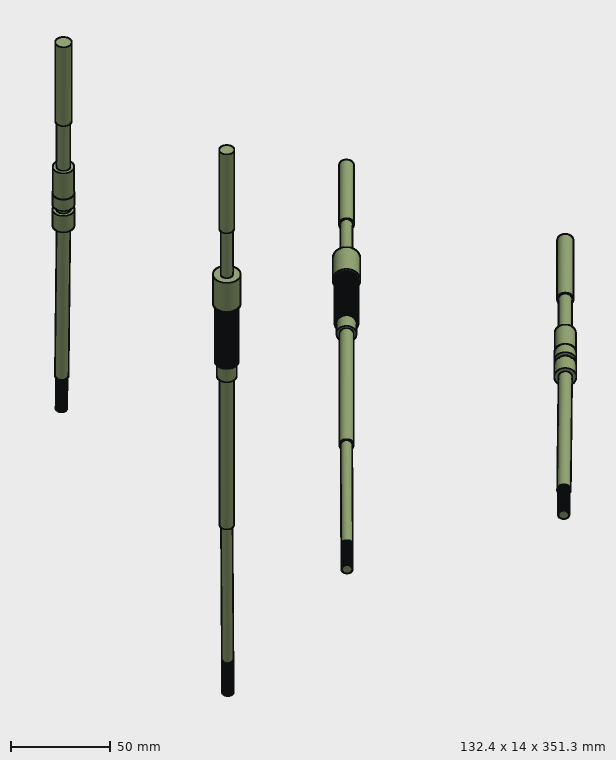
import cadquery as cq
import math

axis_spacing = 119.8
total_length = 351.3

head_end = 51.0
collar_top = 80.5
ridge_pitch = 1.0
ridge_depth = 0.5
cable_length = 96.3
tip_length = 21.5

short_head_diameter = 8.5
short_stem_diameter = 7.0
short_collar_diameter = 11.0
short_collar_end = 97.3
short_sleeve_diameter = 11.2
groove_top = 104.7
groove_end = 108.0
groove_diameter = 7.5
short_fitting_end = 118.5
short_cable_diameter = 7.0
short_tip_diameter = 6.0
short_lean_to_front = 0.8
short_lean_to_side = 0.1

long_head_diameter = 7.7
long_stem_diameter = 6.3
long_collar_diameter = 14.0
long_collar_end = 99.5
thread_diameter = 12.3
thread_end = 137.0
long_nose_diameter = 10.2
long_fitting_end = 146.0
sheath_diameter = 7.5
core_diameter = 6.0
long_lean_to_back = 0.4


def turned(points):
    """Solid of revolution about Z from (radius, depth) points, closed along the axis."""
    outline = [(0, -points[0][1])]
    outline += [(-radius, -depth) for radius, depth in points]
    outline.append((0, -points[-1][1]))
    return cq.Workplane("YZ").polyline(outline).close().revolve(360, (0, 0), (0, 1))


def rod(diameter, top, end):
    """Plain round rod between two depths."""
    return turned([(diameter / 2, top), (diameter / 2, end)])


def ridges(diameter, top, end):
    """Outline points of V ridges that fill the stretch between two depths."""
    count = round((end - top) / ridge_pitch)
    pitch = (end - top) / count
    crest = diameter / 2
    root = crest - ridge_depth
    points = [(root, top)]
    for i in range(count):
        points.append((crest, top + (i + 0.5) * pitch))
        points.append((root, top + (i + 1) * pitch))
    return points


def leaned(body, pivot_depth, about_x, about_y):
    """Turn a body about a point on the axis so that its lower end drifts sideways."""
    pivot = (0, 0, -pivot_depth)
    body = body.rotate(pivot, (1, 0, -pivot_depth), about_x)
    return body.rotate(pivot, (0, 1, -pivot_depth), about_y)


def leaning_rod(diameter, top, end, about_x, about_y):
    """Leaning rod whose upper end is cut level, flush with the part above it."""
    spare = diameter * math.tan(math.radians(abs(about_x) + abs(about_y)))
    body = leaned(rod(diameter, top - spare, end), top, about_x, about_y)
    trim = cq.Workplane("XY", origin=(0, 0, -top)).circle(diameter).extrude(2 * spare)
    return body.cut(trim)


def make_short_fitting():
    """Stem, collar and grooved sleeve turned in one piece."""
    stem = short_stem_diameter / 2
    collar = short_collar_diameter / 2
    sleeve = short_sleeve_diameter / 2
    groove = groove_diameter / 2
    return turned([
        (stem, head_end),
        (stem, collar_top),
        (collar, collar_top),
        (collar, short_collar_end),
        (sleeve, short_collar_end),
        (sleeve, groove_top),
        (groove, groove_top),
        (groove, groove_end),
        (sleeve, groove_end),
        (sleeve, short_fitting_end),
    ])


short_cable_end = short_fitting_end + cable_length
short_lean = (-short_lean_to_front, -short_lean_to_side)

short_head = rod(short_head_diameter, 0, head_end)
short_fitting = make_short_fitting()
short_cable = leaning_rod(short_cable_diameter, short_fitting_end, short_cable_end, *short_lean)
short_tip = leaned(
    turned(ridges(short_tip_diameter, short_cable_end, short_cable_end + tip_length)),
    short_fitting_end,
    *short_lean,
)


def make_long_fitting():
    """Stem, collar, threaded length and nose turned in one piece."""
    stem = long_stem_diameter / 2
    collar = long_collar_diameter / 2
    nose = long_nose_diameter / 2
    return turned([
        (stem, head_end),
        (stem, collar_top),
        (collar, collar_top),
        (collar, long_collar_end),
        *ridges(thread_diameter, long_collar_end, thread_end),
        (nose, thread_end),
        (nose, long_fitting_end),
    ])


sheath_end = long_fitting_end + cable_length
core_end = total_length - tip_length
long_lean = (long_lean_to_back, 0)

long_head = rod(long_head_diameter, 0, head_end)
long_fitting = make_long_fitting()
long_sheath = rod(sheath_diameter, long_fitting_end, sheath_end)
long_core = leaning_rod(core_diameter, sheath_end, core_end, *long_lean)
long_tip = leaned(
    turned(ridges(core_diameter, core_end, total_length)),
    sheath_end,
    *long_lean,
)

short_sensor = [short_head, short_fitting, short_cable, short_tip]
long_sensor = [
    body.translate((axis_spacing, 0, 0))
    for body in (long_head, long_fitting, long_sheath, long_core, long_tip)
]

result = cq.Compound.makeCompound([body.val() for body in short_sensor + long_sensor])